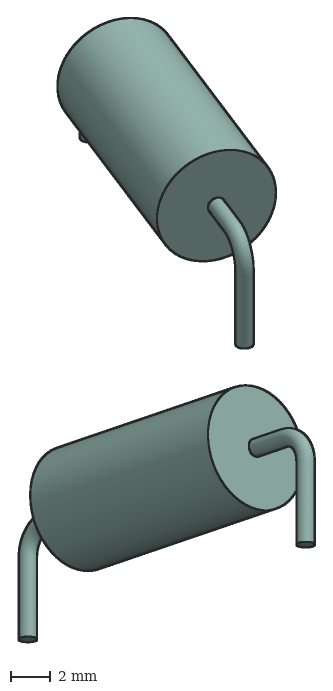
import cadquery as cq

overall_length = 21.8
overall_height = 9.25
body_diameter = 6.47
body_length = 13.35
lead_diameter = 0.94
bend_radius = 1.63

body_end = body_length / 2
leg_x = overall_length / 2 - lead_diameter / 2
bend_start_x = leg_x - bend_radius
leg_bottom_z = body_diameter / 2 - overall_height


def make_body():
    """Plain cylinder along X, centred on the origin."""
    return (
        cq.Workplane("YZ")
        .workplane(offset=-body_end)
        .circle(body_diameter / 2)
        .extrude(body_length)
    )


def make_lead(side):
    """Round wire that leaves one end face and bends down; side is -1 or +1 along X."""
    path = (
        cq.Workplane("XZ")
        .moveTo(side * body_end, 0)
        .lineTo(side * bend_start_x, 0)
        .tangentArcPoint((side * leg_x, -bend_radius), relative=False)
        .lineTo(side * leg_x, leg_bottom_z)
    )
    return (
        cq.Workplane("YZ", origin=(side * body_end, 0, 0))
        .circle(lead_diameter / 2)
        .sweep(path)
    )


body = make_body()
leads = [make_lead(side) for side in (-1, 1)]

result = cq.Compound.makeCompound([body.val(), *[lead.val() for lead in leads]])